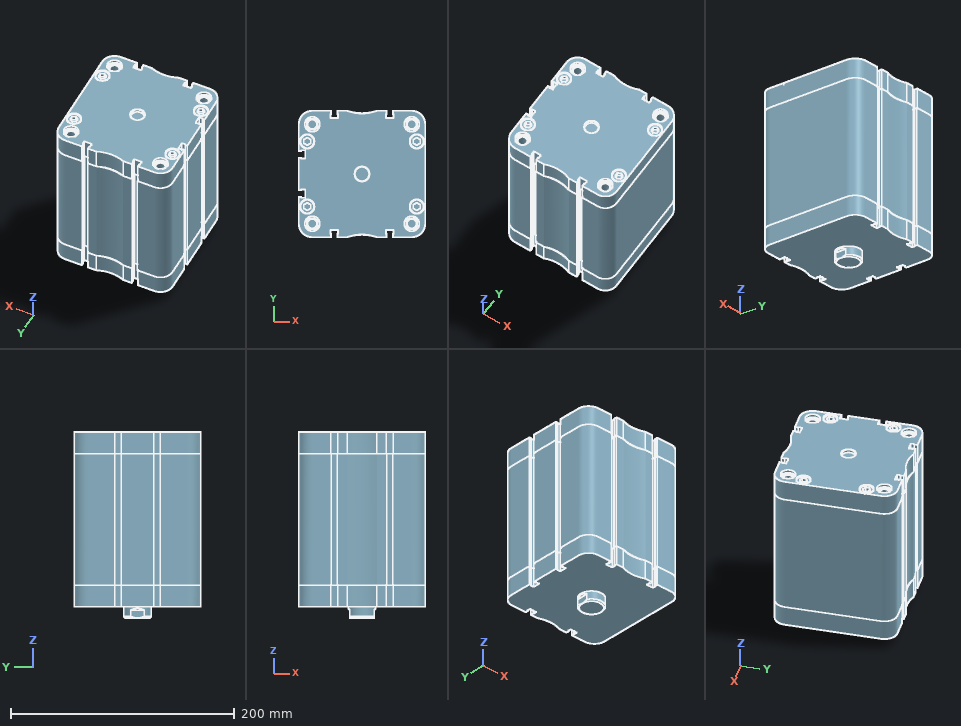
import cadquery as cq
import math

width = 113.5
total_height = 167.0
rod_projection = 10.0
cap_height = 19.5
corner_radius = 12.2
block_height = total_height - rod_projection
barrel_height = block_height - 2 * cap_height
half_width = width / 2

y_side_slot_offset = 24.9
y_side_slot_depth = 6.5
y_side_neck_depth = 3.2
x_side_slot_offset = 17.5
x_side_slot_depth = 5.7
x_side_neck_depth = 2.2
undercut = 0.7
x_side_neck_width = 5.8
cap_neck_width = 6.2
barrel_neck_width = 5.3

scoop_half_width = 13.4
cap_scoop_depth = 2.7
barrel_scoop_depth = 2.2

mount_offset = 44.6
mount_bore_diameter = 13.5
mount_bore_depth = 3.2
thread_diameter = 8.5
thread_mouth_diameter = 10.2
thread_chamfer = (thread_mouth_diameter - thread_diameter) / 2

screw_x = 49.1
screw_y = 29.2
screw_hole_diameter = 13.0
screw_head_diameter = 12.0
screw_recess = 0.8
screw_head_chamfer = (screw_hole_diameter - screw_head_diameter) / 2
socket_across_flats = 6.0
socket_depth = 4.0

centre_diameter = 12.7
centre_mouth_diameter = 13.5
centre_depth = 3.3
centre_chamfer = (centre_mouth_diameter - centre_diameter) / 2

rod_diameter = 25.0
rod_chamfer = 1.5
rod_across_flats = 22.0
rod_flat_height = 7.2


def t_slot(neck_width, neck_depth, depth, height):
    """T-slot cutter for the +Y side, centred on x = 0."""
    neck = cq.Workplane("XY").box(neck_width, 2 * neck_depth, height, centered=(True, True, False))
    head = cq.Workplane("XY").box(
        neck_width + 2 * undercut, depth - neck_depth, height, centered=(True, False, False)
    )
    return neck.union(head.translate((0, -depth, 0))).translate((0, half_width, 0))


def scoop(depth, height):
    """Scoop cutter for the +Y side: one shallow arc across the middle."""
    return (
        cq.Workplane("XY")
        .moveTo(-scoop_half_width, half_width)
        .threePointArc((0, half_width - depth), (scoop_half_width, half_width))
        .close()
        .extrude(height)
    )


def profile_block(height, y_side_neck_width, scoop_depth):
    """Rounded square block with the slots and scoops running along its full height."""
    block = cq.Workplane("XY").box(width, width, height, centered=(True, True, False))
    block = block.edges("|Z").fillet(corner_radius)
    y_slot = t_slot(y_side_neck_width, y_side_neck_depth, y_side_slot_depth, height)
    x_slot = t_slot(x_side_neck_width, x_side_neck_depth, x_side_slot_depth, height)
    x_slot = x_slot.rotate((0, 0, 0), (0, 0, 1), 90)
    side_scoop = scoop(scoop_depth, height)
    for side in (1, -1):
        block = block.cut(x_slot.translate((0, side * x_side_slot_offset, 0)))
    for angle in (0, 180):
        block = block.cut(side_scoop.rotate((0, 0, 0), (0, 0, 1), angle))
        for side in (1, -1):
            slot = y_slot.translate((side * y_side_slot_offset, 0, 0))
            block = block.cut(slot.rotate((0, 0, 0), (0, 0, 1), angle))
    return block


def four_places(x, y):
    """Points mirrored about both the X and Y axes."""
    return [(sx * x, sy * y) for sx in (1, -1) for sy in (1, -1)]


def hole_cutter(steps):
    """Revolved hole cutter from (diameter, depth) corners, listed downward from z = 0."""
    points = [(diameter / 2, -depth) for diameter, depth in steps]
    outline = [(0, -steps[0][1]), *points, (0, -steps[-1][1])]
    return cq.Workplane("XZ").polyline(outline).close().revolve(360, (0, 0, 0), (0, 1, 0))


def mount_hole():
    """Bored mouth above a countersunk thread hole that reaches the barrel."""
    return hole_cutter([
        (mount_bore_diameter, 0),
        (mount_bore_diameter, mount_bore_depth),
        (thread_mouth_diameter, mount_bore_depth),
        (thread_diameter, mount_bore_depth + thread_chamfer),
        (thread_diameter, cap_height),
    ])


def screw_recess_cutter():
    """Recess around a chamfered screw head, with its hexagon socket."""
    chamfer_bottom = screw_recess + screw_head_chamfer
    recess = hole_cutter([(screw_hole_diameter, 0), (screw_hole_diameter, chamfer_bottom)])
    head = hole_cutter([
        (screw_head_diameter, screw_recess),
        (screw_hole_diameter, chamfer_bottom),
    ])
    socket_across_corners = socket_across_flats / math.cos(math.pi / 6)
    socket = (
        cq.Workplane("XY", origin=(0, 0, -screw_recess))
        .polygon(6, socket_across_corners)
        .extrude(-socket_depth)
        .rotate((0, 0, 0), (0, 0, 1), 30)
    )
    return recess.cut(head).union(socket)


def centre_hole():
    """Blind centring hole with a chamfered mouth."""
    return hole_cutter([
        (centre_mouth_diameter, 0),
        (centre_diameter, centre_chamfer),
        (centre_diameter, centre_depth),
    ])


def make_barrel():
    return profile_block(barrel_height, barrel_neck_width, barrel_scoop_depth).translate((0, 0, cap_height))


def make_top_cap():
    cap = profile_block(cap_height, cap_neck_width, cap_scoop_depth)
    cap = cap.translate((0, 0, block_height - cap_height))
    cap = cap.cut(centre_hole().translate((0, 0, block_height)))
    for x, y in four_places(mount_offset, mount_offset):
        cap = cap.cut(mount_hole().translate((x, y, block_height)))
    for x, y in four_places(screw_x, screw_y):
        cap = cap.cut(screw_recess_cutter().translate((x, y, block_height)))
    return cap


def make_bottom_cap():
    cap = profile_block(cap_height, cap_neck_width, cap_scoop_depth)
    return cap.cut(cq.Workplane("XY").circle(rod_diameter / 2).extrude(cap_height))


def make_rod():
    """Rod through the bottom cap, with a chamfered tip and two flats facing -X and +X."""
    rod_radius = rod_diameter / 2
    flat_x = rod_across_flats / 2
    flat_depth = rod_radius - flat_x
    tip_z = -rod_projection
    flat_top = tip_z + rod_flat_height
    rod = cq.Workplane("XY", origin=(0, 0, tip_z)).circle(rod_radius).extrude(rod_projection + cap_height)
    rod = rod.faces("<Z").chamfer(rod_chamfer)
    flat = (
        cq.Workplane("XZ")
        .polyline([
            (flat_x, tip_z),
            (flat_x, flat_top),
            (rod_radius, flat_top + flat_depth),
            (rod_radius, tip_z),
        ])
        .close()
        .extrude(rod_radius, both=True)
    )
    for angle in (0, 180):
        rod = rod.cut(flat.rotate((0, 0, 0), (0, 0, 1), angle))
    return rod


barrel = make_barrel().solids()
top_cap = make_top_cap().solids()
bottom_cap = make_bottom_cap().solids()
rod = make_rod().solids()

result = cq.Compound.makeCompound([barrel.val(), top_cap.val(), bottom_cap.val(), rod.val()])